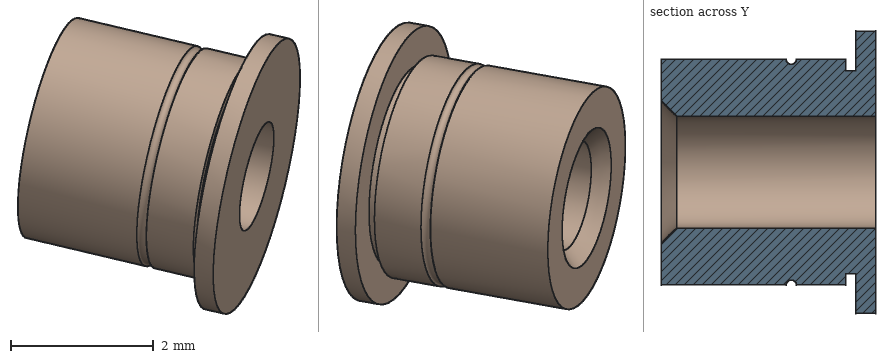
import cadquery as cq


total_length = 3.0
flange_thickness = 0.28
neck_width = 0.14
groove_start = 1.75
groove_radius = 0.0693

flange_diameter = 3.96
body_diameter = 3.168
neck_diameter = 2.85
bore_diameter = 1.565
bore_mouth_diameter = 2.0

lead_in_depth = 0.218

flange_start = total_length - flange_thickness
neck_start = flange_start - neck_width
groove_bottom = groove_start + groove_radius
groove_end = groove_start + 2 * groove_radius

flange_radius = flange_diameter / 2
body_radius = body_diameter / 2
neck_radius = neck_diameter / 2
bore_radius = bore_diameter / 2
bore_mouth_radius = bore_mouth_diameter / 2

half_section = (
    cq.Workplane("XY")
    .moveTo(0, bore_mouth_radius)
    .lineTo(0, body_radius)
    .lineTo(groove_start, body_radius)
    .threePointArc((groove_bottom, body_radius - groove_radius), (groove_end, body_radius))
    .lineTo(neck_start, body_radius)
    .lineTo(neck_start, neck_radius)
    .lineTo(flange_start, neck_radius)
    .lineTo(flange_start, flange_radius)
    .lineTo(total_length, flange_radius)
    .lineTo(total_length, bore_radius)
    .lineTo(lead_in_depth, bore_radius)
    .close()
)

result = half_section.revolve(360, (0, 0, 0), (1, 0, 0))